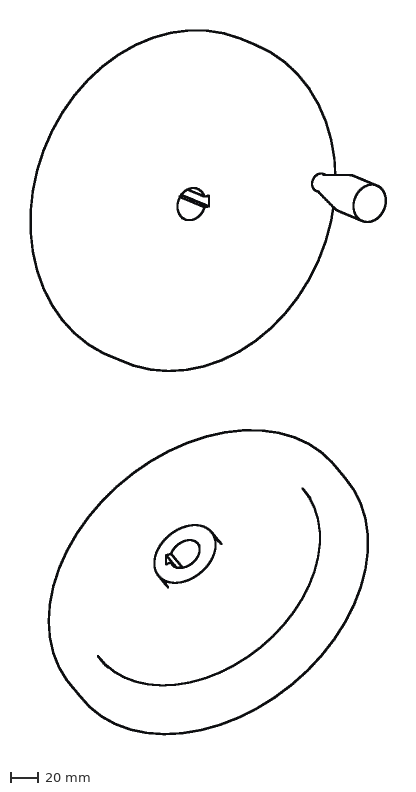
import cadquery as cq
import math


rim_radius = 250 / 2
rim_width = 22.9
rim_front_x = 26.4
rim_back_x = rim_front_x + rim_width
rim_edge_radius = 1.5

recess_radius = 192.62 / 2
recess_lip_radius = 1.0
recess_corner_radius = 3.0
web_angle = math.radians(15)
web_breakout_radius = 58.0

hub_radius = 50 / 2
hub_fillet_radius = 3.0
bore_radius = 24 / 2
keyway_width = 8.0
keyway_reach = 15.3

grip_radius = 28 / 2
neck_radius = 13.44 / 2
handle_offset = 110.7
neck_length = 4.2
taper_length = 31.8
overall_length = 121.24
dome_height = 4.24
dome_flat_radius = 4.5
taper_start_x = rim_back_x + neck_length
grip_start_x = taper_start_x + taper_length
dome_start_x = overall_length - dome_height
handle_root_x = rim_front_x + rim_width / 2

selection_margin = 0.01


def web_surface_x(radius):
    """X of the conical web surface at a given radius."""
    return rim_front_x + (radius - web_breakout_radius) * math.tan(web_angle)


def revolve_about_x(profile):
    """Full turn of a profile about its workplane's local X axis."""
    return profile.revolve(360, (0, 0, 0), (1, 0, 0))


def edges_within(body, x, radius):
    """Edges of the body in the plane at x, no farther from the axis than the radius."""
    reach = radius + selection_margin
    box = cq.selectors.BoxSelector(
        (x - selection_margin, -reach, -reach),
        (x + selection_margin, reach, reach),
        boundingbox=True,
    )
    return body.edges(box)


def make_wheel():
    """Hub, web and rim as one revolved body with a plain flat back."""
    profile = (
        cq.Workplane("XY")
        .moveTo(0, 0)
        .lineTo(0, hub_radius)
        .lineTo(web_surface_x(hub_radius), hub_radius)
        .lineTo(web_surface_x(recess_radius), recess_radius)
        .lineTo(rim_front_x, recess_radius)
        .lineTo(rim_front_x, rim_radius)
        .lineTo(rim_back_x, rim_radius)
        .lineTo(rim_back_x, 0)
        .close()
    )
    wheel = revolve_about_x(profile)
    rounded_corners = [
        (web_surface_x(hub_radius), hub_radius, hub_fillet_radius),
        (web_surface_x(recess_radius), recess_radius, recess_corner_radius),
        (rim_front_x, recess_radius, recess_lip_radius),
        (rim_front_x, rim_radius, rim_edge_radius),
        (rim_back_x, rim_radius, rim_edge_radius),
    ]
    for x, radius, fillet_radius in rounded_corners:
        wheel = edges_within(wheel, x, radius).fillet(fillet_radius)
    return wheel


def make_bore():
    """Through bore with a keyway towards +Y."""
    bore = cq.Workplane("YZ").circle(bore_radius).extrude(rim_back_x)
    keyway = (
        cq.Workplane("YZ")
        .center(keyway_reach / 2, 0)
        .rect(keyway_reach, keyway_width)
        .extrude(rim_back_x)
    )
    return bore.union(keyway)


def make_handle():
    """Neck, taper and domed grip revolved about the handle axis."""
    dome_width = grip_radius - dome_flat_radius
    dome_radius = (dome_width**2 + dome_height**2) / (2 * dome_height)
    profile = (
        cq.Workplane("XY", origin=(0, handle_offset, 0))
        .moveTo(handle_root_x, 0)
        .lineTo(handle_root_x, neck_radius)
        .lineTo(taper_start_x, neck_radius)
        .lineTo(grip_start_x, grip_radius)
        .lineTo(dome_start_x, grip_radius)
        .radiusArc((overall_length, dome_flat_radius), dome_radius)
        .lineTo(overall_length, 0)
        .close()
    )
    return revolve_about_x(profile)


result = make_wheel().cut(make_bore()).union(make_handle())